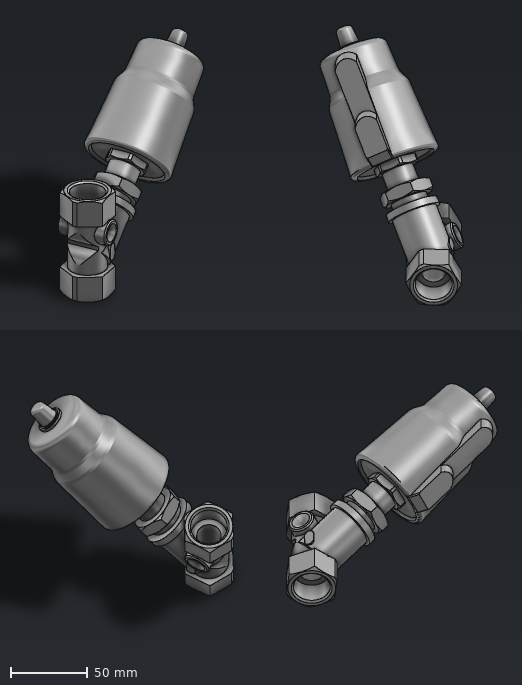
import cadquery as cq
import math

BODY_LENGTH = 75.0
PIPE_RADIUS = 13.3
BORE_DIAMETER = 16.0
PORT_DIAMETER = 24.12
PORT_DEPTH = 16.0
PORT_CHAMFER = 1.3
ELBOW_OFFSET = 13.0
WEB_FACE = 6.5
WEB_THICKNESS = 1.0
WEB_HALF_HEIGHT = 4.0

END_HEX_FLATS = 32.0
END_HEX_HEIGHT = 18.8
END_HEX_DEPTH_Y = 35.0
END_HEX_FACE_RADIUS = 15.7
HEX_CHAMFER_ANGLE = 30.0

BOSS_DIAMETER = 18.0
BOSS_REACH = 18.0
BOSS_HEIGHT = 10.35
BOSS_CHAMFER = 1.0
BOSS_RECESS_DIAMETER = 12.6
BOSS_RECESS_ANGLE = 118.0

PAD_WIDTH = 6.5
PAD_HEIGHT = 12.5
PAD_REACH = 16.0
PAD_CENTER_Y = 5.1
PAD_CENTER_Z = -6.4
PAD_ROOT = 11.0

AXIS_ELEVATION = 40.0
AXIS_START_Z = -11.86

BRANCH_START = 2.0
BRANCH_DIAMETER = 31.0
FLANGE_START = 36.0
FLANGE_END = 41.0
FLANGE_DIAMETER = 36.0
THREAD_DIAMETER = 25.0
NUT_START = 46.2
NUT_END = 54.7
NUT_FLATS = 32.0
NECK_DIAMETER = 22.0
COLLAR_HEX_START = 67.1
COLLAR_HEX_FLATS = 27.0
COLLAR_HEX_CORNERS = 30.0

HOUSING_START = 70.6
RECESS_DIAMETER = 51.7
RECESS_DEPTH = 2.0
RECESS_MOUTH_RADIUS = 27.0
RIM_RADIUS = 30.85
RIM_ROUND = 2.3
SHOULDER_START = 119.2
SHOULDER_END = 121.4
SHOULDER_START_RADIUS = 28.4
SHOULDER_END_RADIUS = 27.7
CAP_START = 126.5
CAP_BLEND_END = 128.5
CAP_START_RADIUS = 25.1
CAP_BLEND_RADIUS = 24.5
CAP_TOP_RADIUS = 23.7
CAP_ROUND = 5.0
HOUSING_END = 152.8

KNOB_COLLAR_DIAMETER = 18.2
KNOB_COLLAR_HEIGHT = 1.9
KNOB_STEP_DIAMETER = 15.5
KNOB_STEP_HEIGHT = 0.7
KNOB_BASE_RADIUS = 6.7
KNOB_TOP_RADIUS = 5.8
KNOB_ROUND = 2.8
KNOB_END = 168.4

FIN_WIDTH = 16.0
FIN_END_BULGE = 4.0
FIN_BOTTOM_CHAMFER = 0.8
UPPER_FIN_REACH = 29.2
UPPER_FIN_ROOT = 22.0
UPPER_FIN_Y = (85.0, 129.0)
LOWER_FIN_REACH = 34.2
LOWER_FIN_ROOT = 27.5
LOWER_FIN_Y = (70.0, 100.5)
FIN_BOTTOM_Z = 10.9

HALF_LENGTH = BODY_LENGTH / 2
ELEVATION = math.radians(AXIS_ELEVATION)
ARC_MIDDLE = math.sqrt(0.5)
AXIS_PLANE = cq.Plane(
    origin=(0, 0, AXIS_START_Z),
    xDir=(1, 0, 0),
    normal=(0, math.cos(ELEVATION), math.sin(ELEVATION)),
)


def on_inclined_axis(shape):
    """Move a shape modelled along local Z onto the inclined axis."""
    return cq.Workplane(shape.val().moved(cq.Location(AXIS_PLANE)))


def cylinder(diameter, start, end):
    """Round bar along Z between two heights."""
    return cq.Workplane().workplane(offset=start).circle(diameter / 2).extrude(end - start)


def hexagon(flats, start, end, turn=0):
    """Hexagonal bar along Z, corners on the X axis before turning."""
    corner_diameter = flats / math.cos(math.pi / 6)
    prism = cq.Workplane().workplane(offset=start).polygon(6, corner_diameter).extrude(end - start)
    return prism.rotate((0, 0, 0), (0, 0, 1), turn)


def coned_end(face_radius, face, far_end):
    """Blank with a flat face of the given radius, coning away from it toward the far end."""
    outer_radius = 2 * face_radius
    slope = math.tan(math.radians(HEX_CHAMFER_ANGLE))
    drop = math.copysign((outer_radius - face_radius) * slope, far_end - face)
    profile = [
        (0, face),
        (face_radius, face),
        (outer_radius, face + drop),
        (outer_radius, far_end + drop),
        (0, far_end + drop),
    ]
    return cq.Workplane("XZ").polyline(profile).close().revolve(360, (0, 0), (0, 1))


def end_hexagon():
    """Upper connection hexagon, flats facing +X and -X."""
    start = HALF_LENGTH - END_HEX_HEIGHT
    prism = hexagon(END_HEX_FLATS, start, HALF_LENGTH, turn=30)
    corner_trim = cq.Workplane().box(2 * END_HEX_FLATS, END_HEX_DEPTH_Y, 2 * BODY_LENGTH)
    return prism.intersect(corner_trim).intersect(coned_end(END_HEX_FACE_RADIUS, HALF_LENGTH, start))


def waist_notch():
    """Cutter along X that shapes the two elbows and the waist on the -Y side."""
    waist_z = ELBOW_OFFSET - math.sqrt(PIPE_RADIUS**2 - WEB_FACE**2)
    diagonal = PIPE_RADIUS * ARC_MIDDLE
    outside = -2 * PIPE_RADIUS
    return (
        cq.Workplane("YZ")
        .moveTo(outside, -ELBOW_OFFSET)
        .lineTo(-PIPE_RADIUS, -ELBOW_OFFSET)
        .threePointArc((-diagonal, diagonal - ELBOW_OFFSET), (-WEB_FACE, -waist_z))
        .lineTo(-WEB_FACE, waist_z)
        .threePointArc((-diagonal, ELBOW_OFFSET - diagonal), (-PIPE_RADIUS, ELBOW_OFFSET))
        .lineTo(outside, ELBOW_OFFSET)
        .close()
        .extrude(2 * PIPE_RADIUS, both=True)
    )


def side_boss(side):
    """Round boss toward +X (side 1) or -X (side -1) with a chamfered face."""
    boss = (
        cq.Workplane("YZ")
        .center(0, BOSS_HEIGHT)
        .circle(BOSS_DIAMETER / 2)
        .extrude(side * BOSS_REACH)
    )
    return boss.faces(">X" if side > 0 else "<X").chamfer(BOSS_CHAMFER)


def boss_recess(side):
    """Conical recess sinking from the boss face."""
    radius = BOSS_RECESS_DIAMETER / 2
    tip = BOSS_REACH - radius / math.tan(math.radians(BOSS_RECESS_ANGLE / 2))
    profile = [(side * tip, 0), (side * BOSS_REACH, radius), (side * BOSS_REACH, 0)]
    cone = cq.Workplane("XY").polyline(profile).close().revolve(360, (0, 0), (1, 0))
    return cone.translate((0, 0, BOSS_HEIGHT))


def side_pad(side):
    """Flat oval pad raised from the branch wall."""
    return (
        cq.Workplane("YZ", origin=(side * PAD_ROOT, 0, 0))
        .center(PAD_CENTER_Y, PAD_CENTER_Z)
        .slot2D(PAD_HEIGHT, PAD_WIDTH, 90)
        .extrude(side * (PAD_REACH - PAD_ROOT))
    )


def flow_passage():
    """Straight bore with a web left behind the waist, and both end ports."""
    bore = cylinder(BORE_DIAMETER, -HALF_LENGTH, HALF_LENGTH)
    web = cq.Workplane().box(BORE_DIAMETER, BORE_DIAMETER, 2 * WEB_HALF_HEIGHT)
    web = web.translate((0, -(WEB_FACE - WEB_THICKNESS) - BORE_DIAMETER / 2, 0))
    port_bottom = HALF_LENGTH - PORT_DEPTH
    port = cylinder(PORT_DIAMETER, port_bottom, HALF_LENGTH)
    mouth_radius = PORT_DIAMETER / 2 + PORT_CHAMFER
    mouth = cq.Workplane(
        cq.Solid.makeCone(
            PORT_DIAMETER / 2, mouth_radius, PORT_CHAMFER, pnt=cq.Vector(0, 0, HALF_LENGTH - PORT_CHAMFER)
        )
    )
    port = port.union(mouth)
    return bore.cut(web).union(port).union(port.mirror("XY"))


def bonnet():
    """Flange, thread, nut, neck and collar hexagon between branch and housing."""
    recess_floor = HOUSING_START + RECESS_DEPTH
    parts = cylinder(FLANGE_DIAMETER, FLANGE_START, FLANGE_END)
    parts = parts.union(cylinder(THREAD_DIAMETER, FLANGE_END, NUT_START))
    nut = hexagon(NUT_FLATS, NUT_START, NUT_END)
    nut = nut.intersect(coned_end(NUT_FLATS / 2, NUT_START, NUT_END))
    nut = nut.intersect(coned_end(NUT_FLATS / 2, NUT_END, NUT_START))
    collar_hex = hexagon(COLLAR_HEX_FLATS, COLLAR_HEX_START, recess_floor)
    collar_hex = collar_hex.intersect(cylinder(COLLAR_HEX_CORNERS, COLLAR_HEX_START, recess_floor))
    collar_hex = collar_hex.intersect(coned_end(COLLAR_HEX_FLATS / 2, COLLAR_HEX_START, recess_floor))
    parts = parts.union(nut)
    parts = parts.union(cylinder(NECK_DIAMETER, NUT_END, COLLAR_HEX_START))
    return parts.union(collar_hex)


def housing():
    """Turned actuator housing with a shallow recess in its underside."""
    recess_floor = HOUSING_START + RECESS_DEPTH
    rim_center = (RIM_RADIUS - RIM_ROUND, HOUSING_START + RIM_ROUND)
    rim_middle = (rim_center[0] + RIM_ROUND * ARC_MIDDLE, rim_center[1] - RIM_ROUND * ARC_MIDDLE)
    cap_center = (CAP_TOP_RADIUS - CAP_ROUND, HOUSING_END - CAP_ROUND)
    cap_middle = (cap_center[0] + CAP_ROUND * ARC_MIDDLE, cap_center[1] + CAP_ROUND * ARC_MIDDLE)
    return (
        cq.Workplane("XZ")
        .moveTo(0, recess_floor)
        .lineTo(RECESS_DIAMETER / 2, recess_floor)
        .lineTo(RECESS_MOUTH_RADIUS, HOUSING_START)
        .lineTo(rim_center[0], HOUSING_START)
        .threePointArc(rim_middle, (RIM_RADIUS, rim_center[1]))
        .lineTo(SHOULDER_START_RADIUS, SHOULDER_START)
        .lineTo(SHOULDER_END_RADIUS, SHOULDER_END)
        .lineTo(CAP_START_RADIUS, CAP_START)
        .lineTo(CAP_BLEND_RADIUS, CAP_BLEND_END)
        .lineTo(CAP_TOP_RADIUS, cap_center[1])
        .threePointArc(cap_middle, (cap_center[0], HOUSING_END))
        .lineTo(0, HOUSING_END)
        .close()
        .revolve(360, (0, 0), (0, 1))
    )


def knob():
    """Tapered, round-topped position indicator standing on a stepped collar."""
    collar_end = HOUSING_END + KNOB_COLLAR_HEIGHT
    collar = cylinder(KNOB_COLLAR_DIAMETER, HOUSING_END, collar_end)
    step_end = collar_end + KNOB_STEP_HEIGHT
    step = cylinder(KNOB_STEP_DIAMETER, collar_end, step_end)
    round_center = (KNOB_TOP_RADIUS - KNOB_ROUND, KNOB_END - KNOB_ROUND)
    round_middle = (round_center[0] + KNOB_ROUND * ARC_MIDDLE, round_center[1] + KNOB_ROUND * ARC_MIDDLE)
    stem = (
        cq.Workplane("XZ")
        .moveTo(0, HOUSING_END)
        .lineTo(KNOB_BASE_RADIUS, HOUSING_END)
        .lineTo(KNOB_BASE_RADIUS, step_end)
        .lineTo(KNOB_TOP_RADIUS, round_center[1])
        .threePointArc(round_middle, (round_center[0], KNOB_END))
        .lineTo(0, KNOB_END)
        .close()
        .revolve(360, (0, 0), (0, 1))
    )
    return collar.union(step).union(stem)


def fin(y_range, root, reach):
    """Upright fin, arched at its +Y end, with its outer edge parallel to the inclined axis."""
    y_start, y_end = y_range
    half_width = FIN_WIDTH / 2
    upright = (
        cq.Workplane(origin=(0, 0, FIN_BOTTOM_Z))
        .moveTo(-half_width, y_start)
        .lineTo(half_width, y_start)
        .lineTo(half_width, y_end - FIN_END_BULGE)
        .threePointArc((0, y_end), (-half_width, y_end - FIN_END_BULGE))
        .close()
        .extrude(HOUSING_END)
    )
    upright = upright.faces("<Z").edges("|Y").chamfer(FIN_BOTTOM_CHAMFER)
    band = cq.Workplane().box(FIN_WIDTH, reach - root, HOUSING_END - HOUSING_START)
    band = band.translate((0, (reach + root) / 2, (HOUSING_END + HOUSING_START) / 2))
    return upright.intersect(on_inclined_axis(band))


branch = on_inclined_axis(cylinder(BRANCH_DIAMETER, BRANCH_START, FLANGE_START))
pipe = cylinder(2 * PIPE_RADIUS, -HALF_LENGTH, HALF_LENGTH)
body = pipe.union(branch).cut(waist_notch())
upper_hexagon = end_hexagon()
body = body.union(upper_hexagon).union(upper_hexagon.mirror("XY"))
for side in (-1, 1):
    body = body.union(side_boss(side)).union(side_pad(side))
body = body.cut(flow_passage())
for side in (-1, 1):
    body = body.cut(boss_recess(side))

actuator = on_inclined_axis(bonnet().union(housing()).union(knob()))
actuator = actuator.union(fin(UPPER_FIN_Y, UPPER_FIN_ROOT, UPPER_FIN_REACH))
actuator = actuator.union(fin(LOWER_FIN_Y, LOWER_FIN_ROOT, LOWER_FIN_REACH))

result = body.union(actuator)